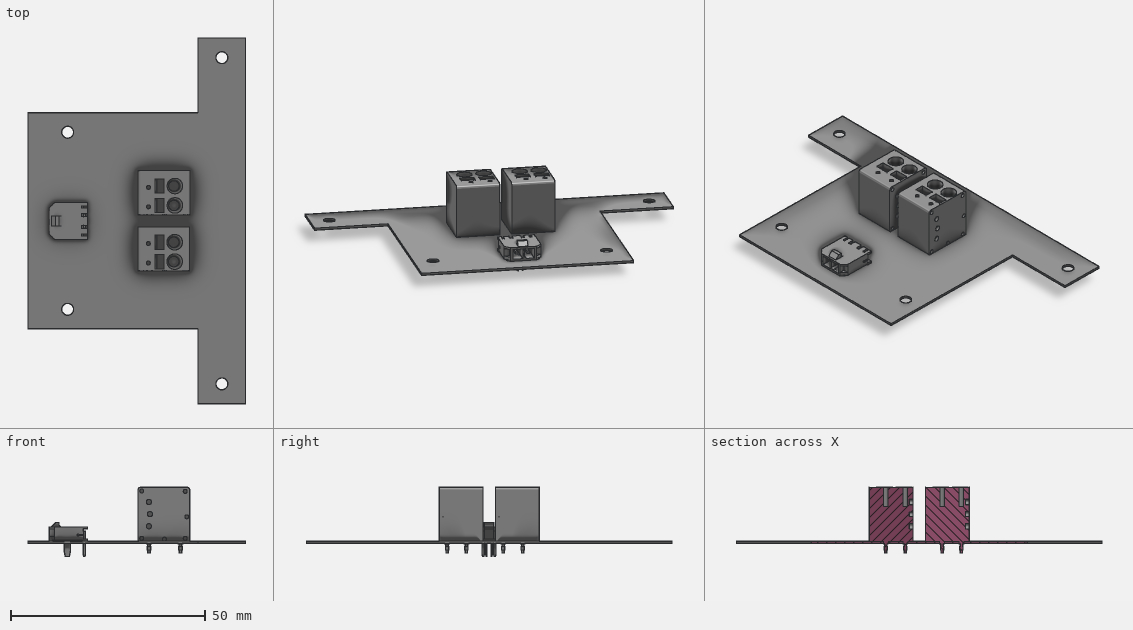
import cadquery as cq

def box(x_range, y_range, z_range):
    """Axis-aligned block given by its low and high limits."""
    size = [high - low for low, high in (x_range, y_range, z_range)]
    corner = (x_range[0], y_range[0], z_range[0])
    return cq.Workplane("XY").box(*size, centered=False).translate(corner)


def along_y(profile, y_range):
    """Extrude a closed workplane profile drawn in X and Z between two Y limits."""
    return profile.extrude(-(y_range[1] - y_range[0])).translate((0, y_range[0], 0))


BOARD_LENGTH_X = 56.13
BOARD_LENGTH_Y = 94.23
BOARD_THICKNESS = 0.6
BOARD_MAIN_WIDTH_Y = 55.7
BOARD_STRIP_WIDTH_X = 12.3
BOARD_X_MIN = -BOARD_LENGTH_X / 2
BOARD_X_MAX = BOARD_LENGTH_X / 2
STRIP_X_MIN = BOARD_X_MAX - BOARD_STRIP_WIDTH_X
MOUNT_HOLE_DIAMETER = 3.0
MAIN_HOLE_X = -17.8
MAIN_HOLE_Y = 22.8
STRIP_HOLE_X = (STRIP_X_MIN + BOARD_X_MAX) / 2
STRIP_HOLE_Y = 42.0

BLOCK_LENGTH_X = 13.355
BLOCK_WIDTH_Y = 11.35
BLOCK_HEIGHT = 13.92
BLOCK_CORNERS = [(0.275, -12.92), (0.325, 1.55)]
BLOCK_TOP_RADIUS = 0.85
BLOCK_FOOT_CHAMFER = 0.25
POLE_COUNT = 2
POLE_PITCH = 5.0
FIRST_POLE_Y = 2.4

WIRE_FUNNEL_X = 9.5
WIRE_FUNNEL_TOP_DIAMETER = 4.0
WIRE_FUNNEL_FLOOR_DIAMETER = 2.7
WIRE_FUNNEL_DEPTH = 8.0
WIRE_FUNNEL_FLOOR_SHIFT_X = -0.25

RELEASE_SLOT_X_MIN = 4.4
RELEASE_SLOT_X_MAX = 6.68
RELEASE_SLOT_WIDTH_Y = 3.67
RELEASE_SLOT_DEPTH = 8.0
RELEASE_SLOT_SLOPE_RUN = 0.5

TEST_HOLE_X = 2.7
TEST_HOLE_OFFSET_Y = -0.35
SMALL_HOLE_DIAMETER = 1.02
TEST_HOLE_DEPTH = 5.0

SIDE_HOLE_DEPTH = 1.0
SMALL_SIDE_HOLES = [(1.0, 12.9), (12.2, 12.8), (12.6, 6.25), (1.0, 0.7), (12.2, 0.7), (6.85, 0.5)]
LARGE_SIDE_HOLE_DIAMETER = 1.35
LARGE_SIDE_HOLES = [(2.85, 10.07), (3.13, 6.95), (2.85, 3.83)]

TAIL_X = (2.85, 10.95)
TAIL_OFFSET_Y = -0.35
TAIL_COLLAR_RADIUS = 0.6
TAIL_NECK_RADIUS = 0.36
TAIL_BARB_RADIUS = 0.45
TAIL_TIP_RADIUS = 0.32
TAIL_COLLAR_END = BOARD_THICKNESS + 0.15
TAIL_BARB_START = BOARD_THICKNESS + 0.75
TAIL_BARB_END = BOARD_THICKNESS + 1.65
TAIL_LENGTH = 3.12

CONNECTOR_Y = -0.06
HOUSING_X_MIN = -22.55
HOUSING_X_MAX = -12.63
HOUSING_WIDTH_Y = 9.65
HOUSING_TOP = 3.69
HOUSING_UNDERSIDE = 0.28
FOOT_X_MIN = -14.05
FRONT_FOOT_DEPTH = 0.9
CORNER_CHAMFER = 1.42
CORNER_NOTCH_Z = (1.13, 3.12)

REAR_RECESS_X_MIN = -13.77
REAR_RECESS_Z = (0.57, 3.12)

TOP_NOTCH_X_MIN = -14.2
TOP_NOTCH_FLOOR = 2.6
CONTACT_NOTCH_WIDTH = 0.8
OUTER_NOTCH_Y = 3.6
OUTER_NOTCH_WIDTH = 0.5

SOCKET_PITCH = 3.0
SOCKET_SIZE = 2.57
SOCKET_Z_MIN = 0.57
SOCKET_DEPTH = 7.0
SOCKET_KEY_CHAMFER = 0.5

LATCH_WIDTH_Y = 2.56
LATCH_TOP = 4.83
LATCH_X = (-22.0, -20.86, -20.0)
LATCH_ROOT_RADIUS = 0.55

SIDE_SLIT_X_MIN = -15.1
SIDE_SLIT_Z = (1.45, 1.7)
SIDE_SLIT_END_DIAMETER = 0.5
SIDE_SLIT_DEPTH = 0.3

CONTACT_SIZE = 0.64
CONTACT_Z = 1.72
CONTACT_BEND_TOP = 2.56
CONTACT_REAR_X = -13.18
CONTACT_FRONT_INSET = 1.5
CONTACT_LENGTH = 3.97
CONTACT_TIP_LENGTH = 0.5
CONTACT_TIP_SIZE = 0.4

PEG_X = -17.88
PEG_RADIUS = 1.0
PEG_TIP_RADIUS = 0.78
PEG_LENGTH = CONTACT_LENGTH
PEG_TAPER_START = 2.6
PEG_SLOT_WIDTH_Y = 1.1
PEG_HEAD_TOP = 0.45


def snap_peg():
    """Round peg, seated in the housing floor and split below it into two legs."""
    profile = (
        cq.Workplane("XZ")
        .moveTo(0, PEG_HEAD_TOP)
        .lineTo(PEG_RADIUS, PEG_HEAD_TOP)
        .lineTo(PEG_RADIUS, -PEG_TAPER_START)
        .lineTo(PEG_TIP_RADIUS, -PEG_LENGTH)
        .lineTo(0, -PEG_LENGTH)
        .close()
    )
    peg = profile.revolve(360, (0, 0, 0), (0, 1, 0))
    half_slot = PEG_SLOT_WIDTH_Y / 2
    slot = box((-PEG_RADIUS, PEG_RADIUS), (-half_slot, half_slot), (-PEG_LENGTH, 0))
    return peg.cut(slot).translate((PEG_X, CONNECTOR_Y, 0))


def contact():
    """Bent square contact at Y = 0: a bar in the socket and a tail through the board."""
    half = CONTACT_SIZE / 2
    tail_x = CONTACT_REAR_X - half
    bar = box(
        (HOUSING_X_MIN + CONTACT_FRONT_INSET, CONTACT_REAR_X),
        (-half, half),
        (CONTACT_Z - half, CONTACT_Z + half),
    )
    tail = box(
        (tail_x - half, tail_x + half),
        (-half, half),
        (CONTACT_TIP_LENGTH - CONTACT_LENGTH, CONTACT_BEND_TOP),
    )
    tip = (
        cq.Workplane("XY", origin=(tail_x, 0, CONTACT_TIP_LENGTH - CONTACT_LENGTH))
        .rect(CONTACT_SIZE, CONTACT_SIZE)
        .workplane(offset=-CONTACT_TIP_LENGTH)
        .rect(CONTACT_TIP_SIZE, CONTACT_TIP_SIZE)
        .loft()
    )
    return bar.union(tail).union(tip)


def socket():
    """Square plug socket at Y = 0."""
    half = SOCKET_SIZE / 2
    return box(
        (HOUSING_X_MIN, HOUSING_X_MIN + SOCKET_DEPTH),
        (-half, half),
        (SOCKET_Z_MIN, SOCKET_Z_MIN + SOCKET_SIZE),
    )


def keyed_socket():
    """Socket whose lower +Y edge is chamfered as a key."""
    return socket().edges("|X and >Y and <Z").chamfer(SOCKET_KEY_CHAMFER)


def latch():
    """Ramped latch on the housing top, with a rounded root behind it."""
    ramp_foot, ramp_top, rear = LATCH_X
    root_end = rear + LATCH_ROOT_RADIUS
    profile = (
        cq.Workplane("XZ")
        .moveTo(ramp_foot, HOUSING_TOP)
        .lineTo(ramp_top, LATCH_TOP)
        .lineTo(rear, LATCH_TOP)
        .lineTo(rear, HOUSING_TOP + LATCH_ROOT_RADIUS)
        .radiusArc((root_end, HOUSING_TOP), -LATCH_ROOT_RADIUS)
        .close()
    )
    return along_y(profile, (-LATCH_WIDTH_Y / 2, LATCH_WIDTH_Y / 2))


def connector_housing():
    """Housing with its latch and bent contacts, hollowed for the plug and the peg."""
    half_width = HOUSING_WIDTH_Y / 2
    full_y = (-half_width, half_width)
    body = box((HOUSING_X_MIN, HOUSING_X_MAX), full_y, (0, HOUSING_TOP))
    body = body.edges("|Z and <X").chamfer(CORNER_CHAMFER)

    body = body.cut(
        box((HOUSING_X_MIN + FRONT_FOOT_DEPTH, FOOT_X_MIN), full_y, (0, HOUSING_UNDERSIDE))
    )
    body = body.cut(box((REAR_RECESS_X_MIN, HOUSING_X_MAX), full_y, REAR_RECESS_Z))

    notch_x = (HOUSING_X_MIN, HOUSING_X_MIN + CORNER_CHAMFER)
    slit_mid_z = sum(SIDE_SLIT_Z) / 2
    slit_end_radius = SIDE_SLIT_END_DIAMETER / 2
    top_notches = [(SOCKET_PITCH / 2, CONTACT_NOTCH_WIDTH), (OUTER_NOTCH_Y, OUTER_NOTCH_WIDTH)]
    for side in (-1, 1):
        step_y = sorted((side * (half_width - CORNER_CHAMFER), side * half_width))
        body = body.cut(box(notch_x, step_y, CORNER_NOTCH_Z))
        slit_y = sorted((side * (half_width - SIDE_SLIT_DEPTH), side * half_width))
        slit_end = cq.Workplane("XZ").center(SIDE_SLIT_X_MIN, slit_mid_z).circle(slit_end_radius)
        body = body.cut(box((SIDE_SLIT_X_MIN, REAR_RECESS_X_MIN), slit_y, SIDE_SLIT_Z))
        body = body.cut(along_y(slit_end, slit_y))
        for notch_y, width in top_notches:
            middle = side * notch_y
            body = body.cut(
                box(
                    (TOP_NOTCH_X_MIN, HOUSING_X_MAX),
                    (middle - width / 2, middle + width / 2),
                    (TOP_NOTCH_FLOOR, HOUSING_TOP),
                )
            )

    body = body.cut(socket().translate((0, SOCKET_PITCH / 2, 0)))
    body = body.cut(keyed_socket().translate((0, -SOCKET_PITCH / 2, 0)))
    for side in (-1, 1):
        body = body.union(contact().translate((0, side * SOCKET_PITCH / 2, 0)))
    body = body.union(latch())
    return body.translate((0, CONNECTOR_Y, 0)).cut(snap_peg())


def solder_tail():
    """Turned tail below Z = 0 with a collar, a neck, a barb and a tip."""
    profile = (
        cq.Workplane("XZ")
        .moveTo(0, 0)
        .lineTo(TAIL_COLLAR_RADIUS, 0)
        .lineTo(TAIL_COLLAR_RADIUS, -TAIL_COLLAR_END)
        .lineTo(TAIL_NECK_RADIUS, -TAIL_COLLAR_END)
        .lineTo(TAIL_NECK_RADIUS, -TAIL_BARB_START)
        .lineTo(TAIL_BARB_RADIUS, -TAIL_BARB_START)
        .lineTo(TAIL_BARB_RADIUS, -TAIL_BARB_END)
        .lineTo(TAIL_TIP_RADIUS, -TAIL_BARB_END)
        .lineTo(TAIL_TIP_RADIUS, -TAIL_LENGTH)
        .lineTo(0, -TAIL_LENGTH)
        .close()
    )
    return profile.revolve(360, (0, 0, 0), (0, 1, 0))


def wire_funnel():
    """Tapered wire entry, opening at Z = 0, its floor set slightly towards -X."""
    return (
        cq.Workplane("XY")
        .circle(WIRE_FUNNEL_TOP_DIAMETER / 2)
        .workplane(offset=-WIRE_FUNNEL_DEPTH)
        .center(WIRE_FUNNEL_FLOOR_SHIFT_X, 0)
        .circle(WIRE_FUNNEL_FLOOR_DIAMETER / 2)
        .loft()
    )


def release_slot():
    """Rectangular tool slot, opening at Z = 0, with a sloping -X wall."""
    profile = (
        cq.Workplane("XZ")
        .moveTo(RELEASE_SLOT_X_MIN, 0)
        .lineTo(RELEASE_SLOT_X_MAX, 0)
        .lineTo(RELEASE_SLOT_X_MAX, -RELEASE_SLOT_DEPTH)
        .lineTo(RELEASE_SLOT_X_MIN + RELEASE_SLOT_SLOPE_RUN, -RELEASE_SLOT_DEPTH)
        .close()
    )
    return along_y(profile, (-RELEASE_SLOT_WIDTH_Y / 2, RELEASE_SLOT_WIDTH_Y / 2))


def terminal_block():
    """Two-pole terminal block with its low-X, low-Y corner at the origin."""
    block = box((0, BLOCK_LENGTH_X), (0, BLOCK_WIDTH_Y), (0, BLOCK_HEIGHT))
    block = block.edges("|Y and >Z").fillet(BLOCK_TOP_RADIUS)
    block = block.edges("|Y and <Z and <X").chamfer(BLOCK_FOOT_CHAMFER)

    for pole in range(POLE_COUNT):
        pole_y = FIRST_POLE_Y + pole * POLE_PITCH
        test_hole = (
            cq.Workplane("XY")
            .circle(SMALL_HOLE_DIAMETER / 2)
            .extrude(-TEST_HOLE_DEPTH)
            .translate((TEST_HOLE_X, pole_y + TEST_HOLE_OFFSET_Y, BLOCK_HEIGHT))
        )
        block = block.cut(test_hole)
        block = block.cut(release_slot().translate((0, pole_y, BLOCK_HEIGHT)))
        block = block.cut(wire_funnel().translate((WIRE_FUNNEL_X, pole_y, BLOCK_HEIGHT)))
        for tail_x in TAIL_X:
            block = block.union(solder_tail().translate((tail_x, pole_y + TAIL_OFFSET_Y, 0)))

    for centres, diameter in (
        (SMALL_SIDE_HOLES, SMALL_HOLE_DIAMETER),
        (LARGE_SIDE_HOLES, LARGE_SIDE_HOLE_DIAMETER),
    ):
        circles = cq.Workplane("XZ").pushPoints(centres).circle(diameter / 2)
        block = block.cut(along_y(circles, (0, SIDE_HOLE_DEPTH)))
    return block


def circuit_board(inserted_bodies):
    """T-shaped board with four mounting holes and holes that match the inserted bodies."""
    y_half = BOARD_LENGTH_Y / 2
    main_half = BOARD_MAIN_WIDTH_Y / 2
    z_range = (-BOARD_THICKNESS, 0)
    board = box((BOARD_X_MIN, STRIP_X_MIN), (-main_half, main_half), z_range)
    board = board.union(box((STRIP_X_MIN, BOARD_X_MAX), (-y_half, y_half), z_range))
    hole_centres = [
        (x, side * y)
        for x, y in ((MAIN_HOLE_X, MAIN_HOLE_Y), (STRIP_HOLE_X, STRIP_HOLE_Y))
        for side in (-1, 1)
    ]
    holes = cq.Workplane("XY").pushPoints(hole_centres).circle(MOUNT_HOLE_DIAMETER / 2)
    board = board.cut(holes.extrude(-BOARD_THICKNESS))
    for body in inserted_bodies:
        board = board.cut(body)
    return board


blocks = [terminal_block().translate((x, y, 0)) for x, y in BLOCK_CORNERS]
housing = connector_housing()
peg = snap_peg()
board = circuit_board([*blocks, housing, peg])

result = cq.Compound.makeCompound(
    [board.val(), *[block.val() for block in blocks], housing.val(), peg.val()]
)